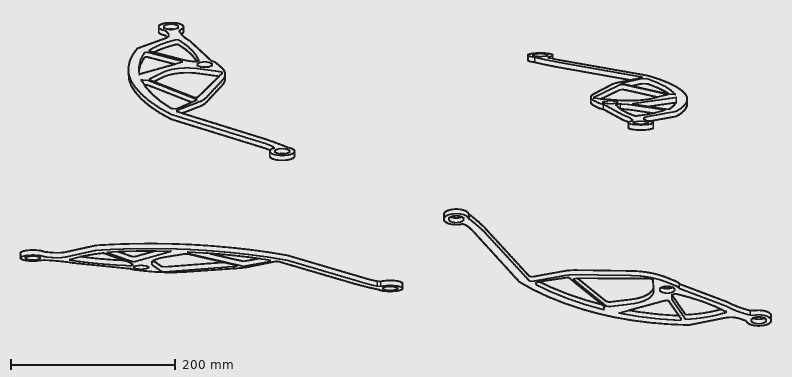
import cadquery as cq

THICKNESS = 6.5
LENGTH = 490.0
EYE_DIAMETER = 30.5
HOLE_DIAMETER = 18.0
MIDDLE_EYE_X = 139.0
RIGHT_EYE_X = LENGTH - EYE_DIAMETER
EYE_CENTRES = [(0, 0), (MIDDLE_EYE_X, 0), (RIGHT_EYE_X, 0)]


def line(end, corner_radius=0):
    """Straight side to a corner, which is rounded by the given radius."""
    return end, None, corner_radius


def arc(middle, end, corner_radius=0):
    """Curved side through a middle point to a corner."""
    return end, middle, corner_radius


def plate(sides):
    """Extrude a closed loop of sides; the loop starts where its last side ends."""
    profile = cq.Workplane("XY").moveTo(*sides[-1][0])
    for end, middle, _ in sides:
        if middle is None:
            profile = profile.lineTo(*end)
        else:
            profile = profile.threePointArc(middle, end)
    body = profile.close().extrude(THICKNESS)
    for (x, y), _, radius in sides:
        if radius:
            corner = cq.selectors.NearestToPointSelector((x, y, THICKNESS / 2))
            body = body.edges("|Z").edges(corner).fillet(radius)
    return body


def eye_cylinders(diameter):
    return cq.Workplane("XY").pushPoints(EYE_CENTRES).circle(diameter / 2).extrude(THICKNESS)


outline = [
    line((0, -13.0)),
    line((7.5, -13.0)),
    arc((10.5, -11.5), (13.5, -10.5)),
    line((32.0, -10.5), 17.0),
    line((60.5, -61.2), 5.0),
    arc((121.0, -91.5), (189.5, -104.5)),
    arc((241.5, -102.5), (296.0, -90.5), 7.5),
    line((420.0, -16.0)),
    arc((430.0, -10.5), (441.0, -6.0)),
    line((RIGHT_EYE_X, -6.0)),
    line((RIGHT_EYE_X, 10.5)),
    line((448.0, 10.5)),
    arc((428.3, 1.5), (412.0, -7.0)),
    line((285.5, -82.5), 4.5),
    line((264.5, -47.5)),
    arc((259.5, -40.0), (254.0, -34.5)),
    line((194.0, 7.5)),
    arc((176.0, 14.5), (157.0, 16.5)),
    line((MIDDLE_EYE_X, 15.0)),
    line((130.5, 12.0)),
    line((54.0, 7.5)),
    arc((34.5, 4.5), (16.5, 5.5)),
    arc((11.5, 10.0), (7.5, 13.0)),
    line((0, 13.0)),
]

upper_left_window = [
    arc((95.0, 0.0), (125.5, -3.0), 1.5),
    line((125.5, -8.5)),
    arc((121.5, -14.0), (116.5, -19.0)),
    line((73.0, -51.0), 2.0),
    arc((57.0, -32.0), (44.5, -5.5), 2.0),
]
lower_left_window = [
    arc((111.0, -74.5), (148.0, -85.7)),
    line((122.0, -21.5), 3.0),
    line((74.5, -56.0), 3.0),
]
upper_right_window = [
    line((151.0, -12.0)),
    arc((143.0, -33.5), (149.5, -55.0)),
    line((169.5, -81.0), 6.0),
    line((250.5, -44.5), 3.5),
    line((171.5, 13.5), 5.0),
]
lower_right_window = [
    arc((223.0, -91.5), (281.5, -83.0), 6.0),
    line((255.5, -45.0), 2.5),
    line((172.5, -82.5), 3.5),
    line((168.5, -89.5)),
]

result = plate(outline).union(eye_cylinders(EYE_DIAMETER))
for window in (upper_left_window, lower_left_window, upper_right_window, lower_right_window):
    result = result.cut(plate(window))
result = result.cut(eye_cylinders(HOLE_DIAMETER))